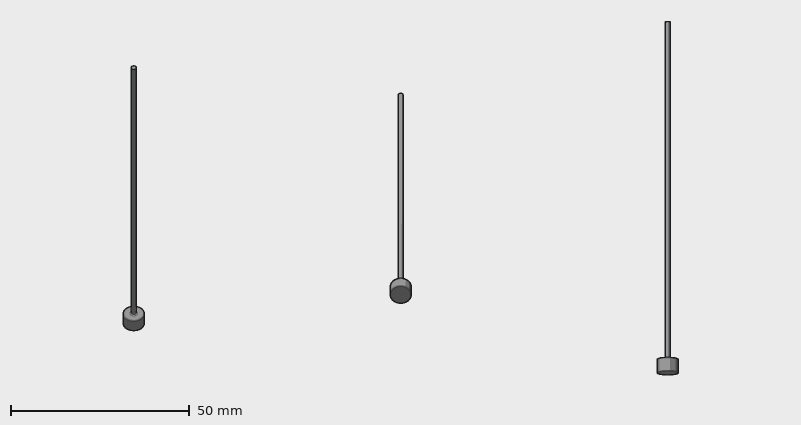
import cadquery as cq

total_length = 100.0
head_diameter = 6.0
head_height = 4.0
head_edge_fillet = 0.2
pin_diameter = 1.5
neck_fillet = 0.3

head = (
    cq.Workplane("XY")
    .circle(head_diameter / 2)
    .extrude(head_height)
    .edges()
    .fillet(head_edge_fillet)
)

pin = (
    cq.Workplane("XY")
    .workplane(offset=head_height)
    .circle(pin_diameter / 2)
    .extrude(total_length - head_height)
)

part = head.union(pin)
neck_reach = pin_diameter / 2 + neck_fillet
neck_box = cq.selectors.BoxSelector(
    (-neck_reach, -neck_reach, head_height - neck_fillet),
    (neck_reach, neck_reach, head_height + neck_fillet),
)
result = part.edges("%CIRCLE").edges(neck_box).fillet(neck_fillet)